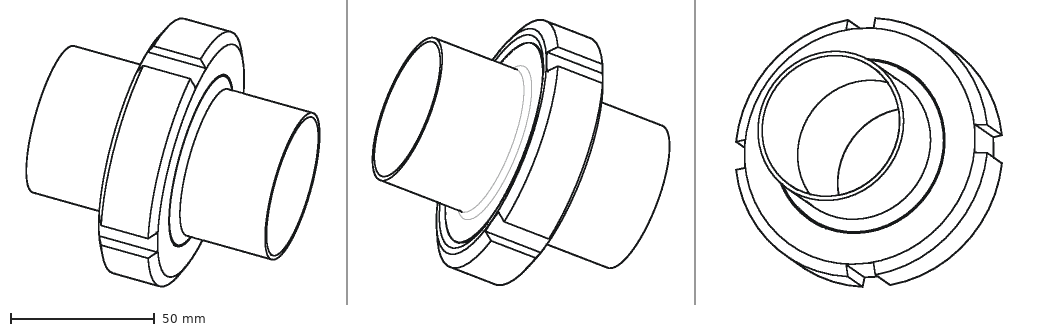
import cadquery as cq
import math


half_length = 89.0 / 2
pipe_radius = 53.0 / 2
bore_radius = 50.0 / 2

nut_left = -11.6
nut_right = 10.4
slot_width = 10.0
slot_floor = 41.9
slot_count = 4
overall_width = 91.45
nut_radius = math.hypot(overall_width / 2, slot_width / 2)
left_rim_radius = 41.8
right_rim_radius = 42.0
left_chamfer = 2.5
right_chamfer = 2.1
mouth_radius = 39.5
mouth_depth = 1.4
nut_bore_radius = 74.2 / 2
shoulder_left = 6.4
shoulder_radius = 62.0 / 2

ferrule_left = -10.6
ferrule_right = 5.0
ferrule_radius = 36.95
fillet_radius = 2.0
seat_radius = 67.0 / 2

flange_left = 2.7
flange_radius = 66.9 / 2
collar_radius = 61.0 / 2
cone_right = 12.8


def revolve_about_x(profile):
    """Revolve an (axial, radial) profile a full turn about the X axis."""
    return profile.close().revolve(360, (0, 0, 0), (1, 0, 0))


def make_nut():
    """Chamfered ring with an inner shoulder and spanner slots across its rim."""
    nut = revolve_about_x(
        cq.Workplane("XY")
        .moveTo(nut_left, mouth_radius)
        .lineTo(nut_left, left_rim_radius)
        .lineTo(nut_left + left_chamfer, nut_radius)
        .lineTo(nut_right - right_chamfer, nut_radius)
        .lineTo(nut_right, right_rim_radius)
        .lineTo(nut_right, shoulder_radius)
        .lineTo(shoulder_left, shoulder_radius)
        .lineTo(shoulder_left, nut_bore_radius)
        .lineTo(nut_left + mouth_depth, nut_bore_radius)
    )
    slot_depth = nut_radius - slot_floor
    slot = (
        cq.Workplane("XY")
        .box(nut_right - nut_left, slot_width, slot_depth)
        .translate(((nut_left + nut_right) / 2, 0, slot_floor + slot_depth / 2))
    )
    for index in range(slot_count):
        angle = index * 360 / slot_count
        nut = nut.cut(slot.rotate((0, 0, 0), (1, 0, 0), angle))
    return nut


def make_ferrule():
    """Left pipe end with a filleted collar and a recess that seats the liner flange."""
    fillet_start = ferrule_left - fillet_radius
    fillet_middle = fillet_radius * math.sqrt(0.5)
    return revolve_about_x(
        cq.Workplane("XY")
        .moveTo(-half_length, bore_radius)
        .lineTo(-half_length, pipe_radius)
        .lineTo(fillet_start, pipe_radius)
        .threePointArc(
            (fillet_start + fillet_middle, pipe_radius + fillet_radius - fillet_middle),
            (ferrule_left, pipe_radius + fillet_radius),
        )
        .lineTo(ferrule_left, ferrule_radius)
        .lineTo(ferrule_right, ferrule_radius)
        .lineTo(ferrule_right, seat_radius)
        .lineTo(flange_left, seat_radius)
        .lineTo(flange_left, bore_radius)
    )


def make_liner():
    """Right pipe end with a flange behind the nut shoulder and a conical neck."""
    return revolve_about_x(
        cq.Workplane("XY")
        .moveTo(flange_left, bore_radius)
        .lineTo(flange_left, flange_radius)
        .lineTo(shoulder_left, flange_radius)
        .lineTo(shoulder_left, collar_radius)
        .lineTo(nut_right, collar_radius)
        .lineTo(cone_right, pipe_radius)
        .lineTo(half_length, pipe_radius)
        .lineTo(half_length, bore_radius)
    )


nut = make_nut()
ferrule = make_ferrule()
liner = make_liner()

result = cq.Compound.makeCompound([nut.val(), ferrule.val(), liner.val()])